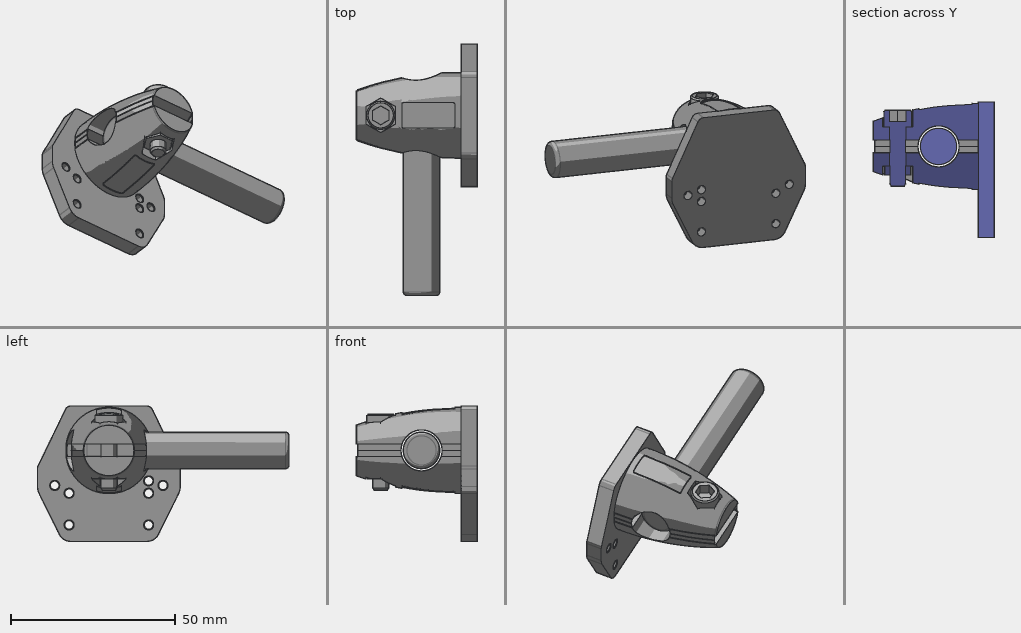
import cadquery as cq
import math


plate_thickness = 5.0
plate_top = 13.6
plate_height = 41.3
plate_bottom = plate_top - plate_height
plate_half_width = 21.8
top_half_width = 12.7
bottom_half_width = 14.0
side_top = -5.1
side_bottom = -12.1
upper_corner_radius = 2.0
side_bottom_radius = 5.0
bottom_corner_radius = 4.0
plate_hole_diameter = 2.6
hole_chamfer = 0.2
hole_inner_y = 12.1
hole_outer_y = 16.5
hole_outer_z = -10.65
hole_middle_z = -13.0
hole_low_z = -22.7
hole_extra_z = -9.3

clamp_length = 32.0
base_radius = 13.2
clamp_envelope_radius = 15.3
belly_x = -18.0
belly_radius = 11.6
tip_radius = 7.9
tip_chamfer_length = 0.45
tip_chamfer_depth = 0.2
slot_half_height = 1.9
lip_recess = 0.1
lip_thickness = 0.2
label_length = 16.1
label_width = 7.7
label_end_x = -1.9
label_depth = 0.3
label_corner_radius = 0.4

rod_x = -12.0
rod_radius = 5.6
rod_length = 62.7
rod_rear_y = 7.8
rod_edge_radius = 1.15
bore_radius = 6.2

screw_x = -24.45
shank_radius = 2.45
screw_tip_z = -12.2
tip_bevel_length = 0.8
tip_bevel_depth = 0.45
head_radius = 4.3
head_top_z = 11.0
head_bevel = 0.45
socket_flats = 5.0
socket_depth = 3.45
pocket_flats = 9.1
pocket_floor_z = 6.05
nut_flats = 8.0
nut_height = 2.7


def hex_prism(flats, bottom_z, height):
    """Hexagonal prism on the screw axis, corners pointing along Y."""
    corner_diameter = flats / math.cos(math.pi / 6)
    return (
        cq.Workplane("XY", origin=(screw_x, 0, bottom_z))
        .transformed(rotate=(0, 0, 90))
        .polygon(6, corner_diameter)
        .extrude(height)
    )


def upright_cylinder(radius, bottom_z, top_z):
    """Round bar on the screw axis."""
    return cq.Workplane("XY", origin=(screw_x, 0, bottom_z)).circle(radius).extrude(top_z - bottom_z)


def clamp_solid(inset):
    """Barrel-shaped clamp body, with its curved side moved inward by the inset."""
    tip_x = -clamp_length
    chamfer_x = tip_x + tip_chamfer_length
    return (
        cq.Workplane("XY")
        .moveTo(0, 0)
        .lineTo(0, base_radius - inset)
        .threePointArc((belly_x, belly_radius - inset), (chamfer_x, tip_radius - inset))
        .lineTo(tip_x, tip_radius - tip_chamfer_depth - inset)
        .lineTo(tip_x, 0)
        .close()
        .revolve(360, (0, 0, 0), (1, 0, 0))
    )


def slot_cut():
    """Gap between the jaws, leaving a thin, slightly sunken lip along each side."""
    slab = cq.Workplane("XY").box(
        clamp_length, 2 * clamp_envelope_radius, 2 * slot_half_height, centered=(False, True, True)
    ).translate((-clamp_length, 0, 0))
    lip_slab = slab.translate((tip_chamfer_length, 0, 0))
    lips = (
        clamp_solid(lip_recess)
        .cut(clamp_solid(lip_recess + lip_thickness))
        .intersect(lip_slab)
    )
    return slab.cut(lips)


def label_cut():
    """Shallow rounded rectangle that follows the curved top of the clamp."""
    outline = (
        cq.Workplane("XY")
        .box(label_length, label_width, clamp_envelope_radius, centered=(True, True, False))
        .edges("|Z")
        .fillet(label_corner_radius)
        .translate((label_end_x - label_length / 2, 0, 0))
    )
    return outline.cut(clamp_solid(label_depth))


def make_upper_jaw():
    """Upper half of the clamp."""
    upper_space = cq.Workplane("XY").box(
        clamp_length, 2 * clamp_envelope_radius, clamp_envelope_radius, centered=(False, True, False)
    ).translate((-clamp_length, 0, 0))
    bore = (
        cq.Workplane("XZ", origin=(rod_x, 0, 0))
        .circle(bore_radius)
        .extrude(clamp_envelope_radius, both=True)
    )
    return (
        clamp_solid(0)
        .intersect(upper_space)
        .cut(slot_cut())
        .cut(bore)
        .cut(label_cut())
        .cut(upright_cylinder(shank_radius, 0, clamp_envelope_radius))
        .cut(hex_prism(pocket_flats, pocket_floor_z, clamp_envelope_radius))
    )


def make_jaw(is_upper):
    """One clamp jaw; the lower one is the upper one mirrored."""
    upper_jaw = make_upper_jaw()
    return upper_jaw if is_upper else upper_jaw.mirror("XY")


def make_plate():
    """Eight-sided plate with rounded corners and seven through holes, chamfered on the clamp side."""
    right_side = [
        (top_half_width, plate_top),
        (plate_half_width, side_top),
        (plate_half_width, side_bottom),
        (bottom_half_width, plate_bottom),
    ]
    left_side = [(-y, z) for y, z in reversed(right_side)]
    corner_radii = [upper_corner_radius, upper_corner_radius, side_bottom_radius, bottom_corner_radius]
    plate = cq.Workplane("YZ").polyline(right_side + left_side).close().extrude(plate_thickness)
    for (y, z), radius in zip(right_side, corner_radii):
        for side in (-1, 1):
            corner = cq.selectors.NearestToPointSelector((plate_thickness / 2, side * y, z))
            plate = plate.edges("|X").edges(corner).fillet(radius)
    hole_centers = [(-hole_inner_y, hole_extra_z)]
    for side in (-1, 1):
        hole_centers.append((side * hole_outer_y, hole_outer_z))
        hole_centers.append((side * hole_inner_y, hole_middle_z))
        hole_centers.append((side * hole_inner_y, hole_low_z))
    holes = (
        cq.Workplane("YZ")
        .pushPoints(hole_centers)
        .circle(plate_hole_diameter / 2)
        .extrude(plate_thickness)
    )
    hole_rims = (
        cq.Workplane("YZ")
        .pushPoints(hole_centers)
        .circle(plate_hole_diameter / 2 + hole_chamfer)
        .extrude(hole_chamfer, taper=45)
    )
    return plate.cut(holes).cut(hole_rims)


def make_rod():
    """Round rod along Y with rounded end edges."""
    return (
        cq.Workplane("XZ", origin=(rod_x, rod_rear_y, 0))
        .circle(rod_radius)
        .extrude(rod_length)
        .faces("<Y or >Y")
        .edges()
        .fillet(rod_edge_radius)
    )


def make_screw():
    """Socket head screw with a bevelled head and tip."""
    shank = (
        upright_cylinder(shank_radius, screw_tip_z, pocket_floor_z)
        .faces("<Z")
        .chamfer(tip_bevel_length, tip_bevel_depth)
    )
    head = upright_cylinder(head_radius, pocket_floor_z, head_top_z).faces(">Z").chamfer(head_bevel)
    socket = hex_prism(socket_flats, head_top_z - socket_depth, socket_depth)
    return shank.union(head).cut(socket)


def make_nut():
    """Hexagonal nut seated in the pocket of the lower jaw."""
    nut_bottom = -pocket_floor_z - nut_height
    bore = upright_cylinder(shank_radius, nut_bottom, -pocket_floor_z)
    return hex_prism(nut_flats, nut_bottom, nut_height).cut(bore)


plate = make_plate()
jaws = [make_jaw(is_upper) for is_upper in (True, False)]
rod = make_rod()
screw = make_screw()
nut = make_nut()

result = cq.Compound.makeCompound(
    [plate.val(), *[jaw.val() for jaw in jaws], rod.val(), screw.val(), nut.val()]
)